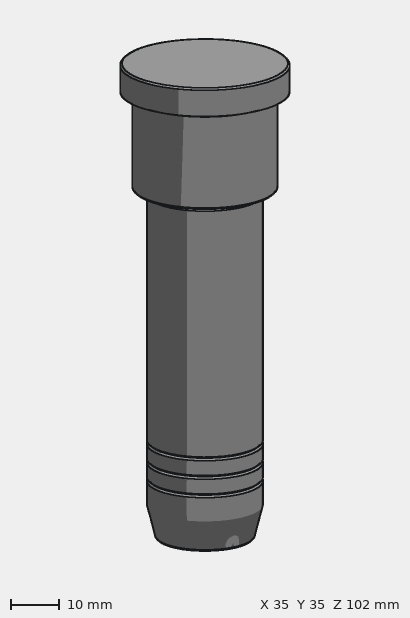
import cadquery as cq

length = 102.0
head_radius = 35.0 / 2
head_height = 6.0
collar_radius = 15.0
collar_bottom = 75.1
shaft_radius = 24.0 / 2
edge_chamfer = 0.4

head_relief_width = 0.5
head_relief_depth = 0.4

neck_height = 1.2
neck_arc_sag = 0.3
neck_depth = 0.6

groove_half_width = 0.4
groove_depth = 0.5
lowest_groove_height = 12.5
groove_pitch = 4.0
groove_count = 3

taper_height = 7.0
tip_radius = 10.3
tip_chamfer = 0.4


def turned_body():
    """Revolve the half profile of the pin about Z."""
    head_bottom = length - head_height
    collar_top = head_bottom - head_relief_width
    relief_radius = collar_radius - head_relief_depth
    neck_radius = shaft_radius - neck_depth
    shaft_top = collar_bottom - neck_height
    lower_outline = [
        (0, 0),
        (tip_radius - tip_chamfer, 0),
        (tip_radius, tip_chamfer),
        (shaft_radius, taper_height),
        (shaft_radius, shaft_top),
    ]
    upper_outline = [
        (neck_radius, collar_bottom),
        (collar_radius - edge_chamfer, collar_bottom),
        (collar_radius, collar_bottom + edge_chamfer),
        (collar_radius, collar_top - head_relief_depth),
        (relief_radius, collar_top),
        (relief_radius, head_bottom),
        (head_radius, head_bottom),
        (head_radius, length - edge_chamfer),
        (head_radius - edge_chamfer, length),
        (0, length),
    ]
    outline = cq.Workplane("XZ").polyline(lower_outline)
    outline = outline.sagittaArc(upper_outline[0], neck_arc_sag)
    outline = outline.polyline(upper_outline[1:], includeCurrent=True).close()
    return outline.revolve(360, (0, 0), (0, 1))


def groove_ring(height):
    """Ring of triangular section that cuts one groove, centred on the given height."""
    section = [
        (shaft_radius, height - groove_half_width),
        (shaft_radius - groove_depth, height),
        (shaft_radius, height + groove_half_width),
    ]
    return cq.Workplane("XZ").polyline(section).close().revolve(360, (0, 0), (0, 1))


result = turned_body()
for index in range(groove_count):
    result = result.cut(groove_ring(lowest_groove_height + index * groove_pitch))